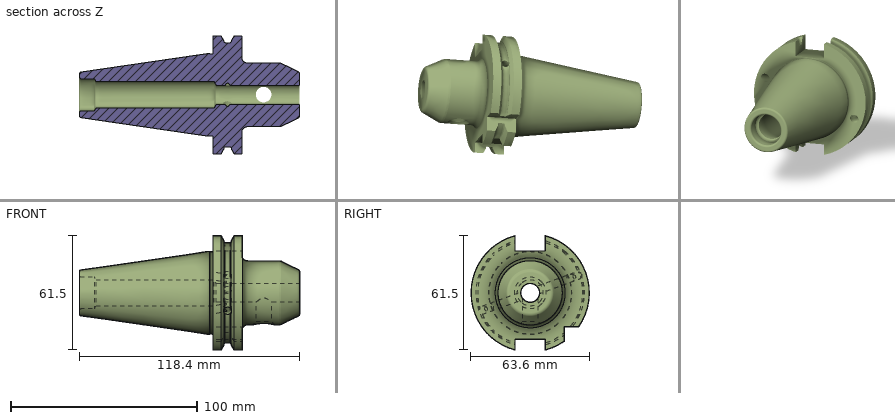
import cadquery as cq
import math

shank_length = 68.4
nose_end_x = 50.0
flange_front_x = 3.2
flange_width = 15.9
flange_back_x = flange_front_x + flange_width

gauge_radius = 44.45 / 2
taper_slope = 7 / 48
small_end_radius = gauge_radius - shank_length * taper_slope
small_end_fillet = 1.0
taper_end_x = 0.6
collar_radius = 44.25 / 2
collar_step_x = 1.4
collar_start_x = 1.75
collar_root_fillet = 0.35

flange_radius = 63.55 / 2
groove_radius = 56.25 / 2
groove_center_x = flange_front_x + flange_width / 2
groove_top_width = 6.9
groove_bottom_width = 3.8
groove_flank_angle = 30.0
groove_fillet = 0.6

nose_radius = 34.5 / 2
root_arc_length = 2.8
root_arc_height = 1.55
nose_cone_start_x = 39.45
nose_cone_angle = 26.0
nose_shoulder_fillet = 2.5
nose_tip_fillet = 2.0

tool_bore_radius = 10.0 / 2
thread_bore_radius = 14.0 / 2
pilot_bore_radius = 17.0 / 2
pilot_depth = 8.0
step_cone_angle = 60.0
tool_bore_depth = 45.0
bore_mouth_fillet = 1.0

slot_width = 16.1
upper_slot_floor = 22.6
lower_slot_floor = 25.0
notch_offset = 18.3

coolant_diameter = 4.2
coolant_angle = 20.0
coolant_tilt = 30.0
coolant_entry_radius = 26.9

screw_hole_diameter = 8.38
screw_countersink_diameter = 12.0
screw_hole_x = nose_end_x - 19.4


def revolve_about_x(profile):
    """Turn a closed (X, radius) profile about the part axis."""
    return profile.close().revolve(360, (0, 0, 0), (1, 0, 0))


def fillet_rings(body, *rings):
    """Round the outermost circular edge at each given (x, radius, fillet)."""
    tolerance = 0.01
    for x, radius, fillet in rings:
        box = cq.selectors.BoxSelector(
            (x - tolerance, -radius - tolerance, -radius - tolerance),
            (x + tolerance, radius + tolerance, radius + tolerance),
            boundingbox=True,
        )
        outer = body.edges(box).edges(cq.selectors.RadiusNthSelector(-1))
        body = outer.fillet(fillet)
    return body


def make_shank():
    taper_end_radius = gauge_radius + taper_end_x * taper_slope
    profile = (
        cq.Workplane("XY")
        .moveTo(-shank_length, 0)
        .lineTo(-shank_length, small_end_radius)
        .lineTo(taper_end_x, taper_end_radius)
        .lineTo(collar_step_x, taper_end_radius)
        .lineTo(collar_start_x, collar_radius)
        .lineTo(flange_front_x - collar_root_fillet, collar_radius)
        .radiusArc((flange_front_x, collar_radius + collar_root_fillet), -collar_root_fillet)
        .lineTo(flange_front_x, 0)
    )
    body = revolve_about_x(profile)
    return fillet_rings(body, (-shank_length, small_end_radius, small_end_fillet))


def make_flange():
    top_half = groove_top_width / 2
    bottom_half = groove_bottom_width / 2
    flank_depth = (top_half - bottom_half) / math.tan(math.radians(groove_flank_angle))
    wall_top_radius = flange_radius - flank_depth
    profile = (
        cq.Workplane("XY")
        .moveTo(flange_front_x, 0)
        .lineTo(flange_front_x, flange_radius)
        .lineTo(groove_center_x - top_half, flange_radius)
        .lineTo(groove_center_x - bottom_half, wall_top_radius)
        .lineTo(groove_center_x - bottom_half, groove_radius + groove_fillet)
        .radiusArc((groove_center_x - bottom_half + groove_fillet, groove_radius), -groove_fillet)
        .lineTo(groove_center_x + bottom_half - groove_fillet, groove_radius)
        .radiusArc((groove_center_x + bottom_half, groove_radius + groove_fillet), -groove_fillet)
        .lineTo(groove_center_x + bottom_half, wall_top_radius)
        .lineTo(groove_center_x + top_half, flange_radius)
        .lineTo(flange_back_x, flange_radius)
        .lineTo(flange_back_x, 0)
    )
    return revolve_about_x(profile)


def make_nose():
    cone_drop = (nose_end_x - nose_cone_start_x) * math.tan(math.radians(nose_cone_angle))
    tip_radius = nose_radius - cone_drop
    root_radius = (root_arc_length**2 + root_arc_height**2) / (2 * root_arc_height)
    profile = (
        cq.Workplane("XY")
        .moveTo(flange_back_x, 0)
        .lineTo(flange_back_x, nose_radius + root_arc_height)
        .radiusArc((flange_back_x + root_arc_length, nose_radius), -root_radius)
        .lineTo(nose_cone_start_x, nose_radius)
        .lineTo(nose_end_x, tip_radius)
        .lineTo(nose_end_x, 0)
    )
    body = revolve_about_x(profile)
    return fillet_rings(
        body,
        (nose_cone_start_x, nose_radius, nose_shoulder_fillet),
        (nose_end_x, tip_radius, nose_tip_fillet),
    )


def make_bore():
    cone_slope = math.tan(math.radians(step_cone_angle))
    pilot_end_x = pilot_depth - shank_length
    thread_start_x = pilot_end_x + (pilot_bore_radius - thread_bore_radius) / cone_slope
    tool_bore_start_x = nose_end_x - tool_bore_depth
    thread_end_x = tool_bore_start_x - (thread_bore_radius - tool_bore_radius) / cone_slope
    profile = (
        cq.Workplane("XY")
        .moveTo(-shank_length, 0)
        .lineTo(-shank_length, pilot_bore_radius + bore_mouth_fillet)
        .radiusArc((bore_mouth_fillet - shank_length, pilot_bore_radius), -bore_mouth_fillet)
        .lineTo(pilot_end_x, pilot_bore_radius)
        .lineTo(thread_start_x, thread_bore_radius)
        .lineTo(thread_end_x, thread_bore_radius)
        .lineTo(tool_bore_start_x, tool_bore_radius)
        .lineTo(nose_end_x, tool_bore_radius)
        .lineTo(nose_end_x, 0)
    )
    return revolve_about_x(profile)


def make_flange_cuts():
    """Two drive slots and the orientation notch, open to the rim."""

    def block(y_size, y_low, z_low):
        corner = (flange_front_x, y_low, z_low)
        return cq.Workplane("XY").box(flange_width, y_size, flange_radius, centered=False).translate(corner)

    upper_slot = block(slot_width, -slot_width / 2, upper_slot_floor)
    lower_slot = block(slot_width, -slot_width / 2, -lower_slot_floor - flange_radius)
    notch = block(flange_radius, notch_offset, -notch_offset - flange_radius)
    return upper_slot.union(lower_slot).union(notch)


def drill(start, direction, length, diameter):
    """Cylindrical cutter running from a start point along a direction."""
    return cq.Workplane(cq.Solid.makeCylinder(diameter / 2, length, start, direction))


def make_coolant_passage():
    """Radial hole from the groove to the bore, met by a tilted hole from the flange face."""
    radial = drill(cq.Vector(groove_center_x, 0, 0), cq.Vector(0, 1, 0), flange_radius, coolant_diameter)
    tilt = math.radians(coolant_tilt)
    axial_run = groove_center_x - flange_front_x
    overrun = coolant_diameter
    direction = cq.Vector(math.cos(tilt), -math.sin(tilt), 0)
    entry = cq.Vector(flange_front_x, coolant_entry_radius, 0) - direction * overrun
    feed_length = overrun + axial_run / math.cos(tilt)
    feed = drill(entry, direction, feed_length, coolant_diameter)
    return radial.union(feed)


def make_screw_hole():
    """Hole from the underside of the nose to the bore, with a 45 degree countersink."""
    down = cq.Vector(0, 0, -1)
    hole = drill(cq.Vector(screw_hole_x, 0, 0), down, nose_radius, screw_hole_diameter)
    mouth_radius = screw_countersink_diameter / 2
    countersink = cq.Solid.makeCone(
        mouth_radius, 0, mouth_radius, cq.Vector(screw_hole_x, 0, -nose_radius), -down
    )
    return hole.union(cq.Workplane(countersink))


result = make_shank().union(make_flange()).union(make_nose())
result = result.cut(make_flange_cuts()).cut(make_bore())
for side in (0, 180):
    passage = make_coolant_passage().rotate((0, 0, 0), (1, 0, 0), coolant_angle + side)
    result = result.cut(passage)
result = result.cut(make_screw_hole())